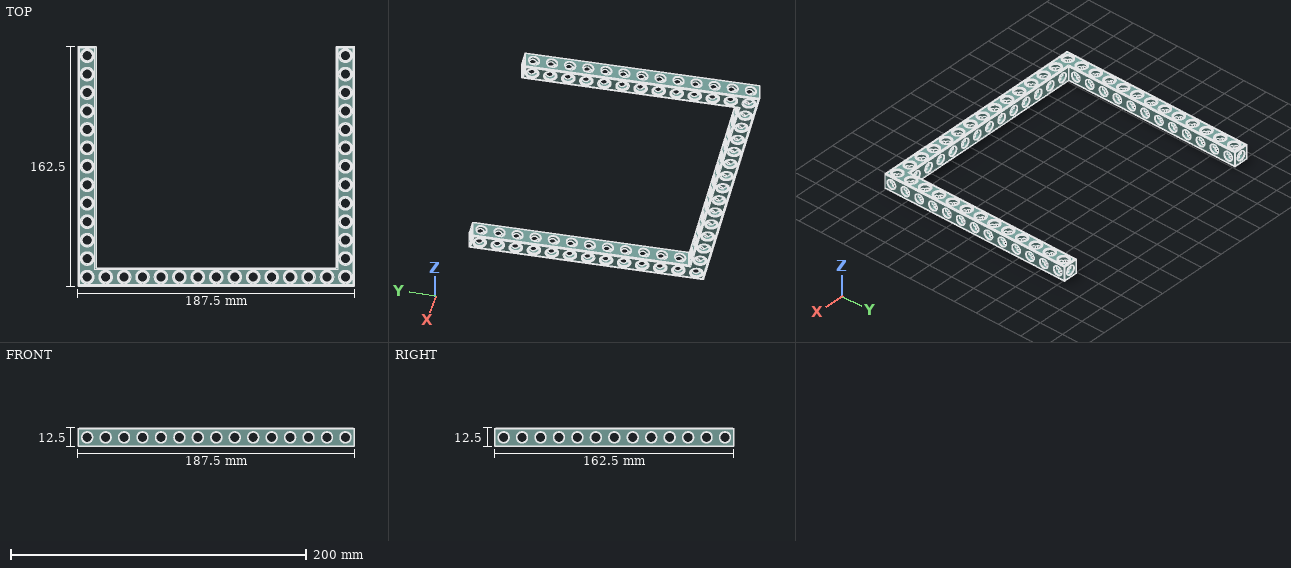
import cadquery as cq

LENGTH = 187.5
X_HOLES = 15
Y_HOLES = 13
HOLE_DIAMETER = 7.0
RECESS_DIAMETER = 9.2
PAD_HEIGHT = 0.1
CHAMFER = 0.4

PITCH = LENGTH / X_HOLES
DEPTH = Y_HOLES * PITCH
MID_HEIGHT = PITCH / 2
HOLE_RADIUS = HOLE_DIAMETER / 2

PAD_INSET = (RECESS_DIAMETER - HOLE_DIAMETER) / 2


def hole_centre(index):
    """Distance from the outer corner to the centre of a hole position."""
    return (index + 0.5) * PITCH


X_CENTRES = [hole_centre(i) for i in range(X_HOLES)]
Y_CENTRES = [hole_centre(j) for j in range(Y_HOLES)]
VERTICAL_CENTRES = [(x, Y_CENTRES[0]) for x in X_CENTRES] + [
    (x, y) for x in (X_CENTRES[0], X_CENTRES[-1]) for y in Y_CENTRES[1:]
]


def u_plate(base, height, inset=0.0):
    """U-shaped plate: a crossbar along X with an arm along +Y at each end."""
    outer_left = inset
    outer_right = LENGTH - inset
    inner_left = PITCH - inset
    inner_right = LENGTH - PITCH + inset
    front = inset
    inner_front = PITCH - inset
    tip = DEPTH - inset
    outline = [
        (outer_left, front),
        (outer_right, front),
        (outer_right, tip),
        (inner_right, tip),
        (inner_right, inner_front),
        (inner_left, inner_front),
        (inner_left, tip),
        (outer_left, tip),
    ]
    return cq.Workplane("XY", origin=(0, 0, base)).polyline(outline).close().extrude(height)


def rim_cone(point, direction):
    """Cutter for the chamfered rim of a hole entering at point along direction."""
    return cq.Solid.makeCone(
        HOLE_RADIUS + CHAMFER, HOLE_RADIUS, CHAMFER, cq.Vector(*point), cq.Vector(*direction)
    )


def drill(body, plane, centres, length, rims):
    """Cut a set of parallel through holes and the chamfers at their rims."""
    bores = cq.Workplane(plane).pushPoints(centres).circle(HOLE_RADIUS).extrude(length)
    cones = cq.Workplane(obj=cq.Compound.makeCompound(rims))
    return body.cut(bores).cut(cones)


def cut_vertical_holes(body):
    """Holes along Z at every position."""
    rims = []
    for x, y in VERTICAL_CENTRES:
        rims.append(rim_cone((x, y, PAD_HEIGHT), (0, 0, 1)))
        rims.append(rim_cone((x, y, PITCH - PAD_HEIGHT), (0, 0, -1)))
    return drill(body, "XY", VERTICAL_CENTRES, PITCH, rims)


def cut_y_holes(body):
    """Holes along Y; the two end ones run the whole length of the arms."""
    rims = []
    for x in X_CENTRES:
        in_arm = x in (X_CENTRES[0], X_CENTRES[-1])
        back = DEPTH if in_arm else PITCH
        rims.append(rim_cone((x, 0, MID_HEIGHT), (0, 1, 0)))
        rims.append(rim_cone((x, back, MID_HEIGHT), (0, -1, 0)))
    centres = [(x, MID_HEIGHT) for x in X_CENTRES]
    return drill(body, "XZ", centres, -DEPTH, rims)


def cut_x_holes(body):
    """Holes along X; the corner one runs the whole length of the crossbar."""
    rims = []
    for y in Y_CENTRES:
        rims.append(rim_cone((0, y, MID_HEIGHT), (1, 0, 0)))
        rims.append(rim_cone((LENGTH, y, MID_HEIGHT), (-1, 0, 0)))
    for y in Y_CENTRES[1:]:
        rims.append(rim_cone((PITCH, y, MID_HEIGHT), (-1, 0, 0)))
        rims.append(rim_cone((LENGTH - PITCH, y, MID_HEIGHT), (1, 0, 0)))
    centres = [(y, MID_HEIGHT) for y in Y_CENTRES]
    return drill(body, "YZ", centres, LENGTH, rims)


def build_pad(base):
    """Thin raised pad, inset from the outline and open around every vertical hole."""
    recesses = (
        cq.Workplane("XY", origin=(0, 0, base))
        .pushPoints(VERTICAL_CENTRES)
        .circle(RECESS_DIAMETER / 2)
        .extrude(PAD_HEIGHT)
    )
    return u_plate(base, PAD_HEIGHT, PAD_INSET).cut(recesses)


core = u_plate(PAD_HEIGHT, PITCH - 2 * PAD_HEIGHT).edges().chamfer(CHAMFER)
core = cut_vertical_holes(core)
core = cut_y_holes(core)
core = cut_x_holes(core)

result = core.union(build_pad(0)).union(build_pad(PITCH - PAD_HEIGHT))